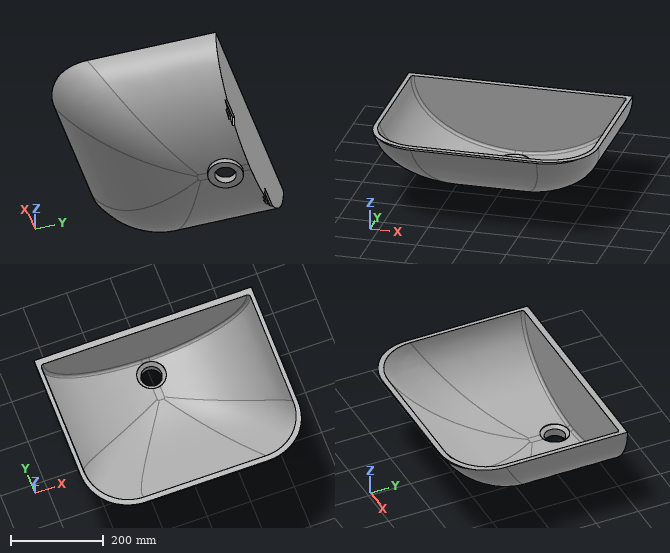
import cadquery as cq
import math

width = 499.5
length = 397.5
total_height = 180.0
bowl_depth = 170.5
deepest_y = -108.5
corner_radius = 110.0

side_wall = 10.0
front_wall = 12.5
back_wall = 15.0
floor_thickness = 14.5
cavity_edge_radius = 6.0
rim_overhang = 2.5
trim_margin = 5.0

drain_y = -54.5
drain_boss_diameter = 77.0
drain_hole_diameter = 46.0
countersink_diameter = 64.0
countersink_depth = 6.0

outer_notch = (112.0, -127.0, 26.0, 4.5)
inner_notch = (127.5, -137.0, 10.0, 8.0)

section_angles = (0, 8, 16, 25, 35, 45, 55, 65, 74, 82, 88)


def bowl(half_width, reach, depth, back_y, radius):
    """Loft horizontal outlines: elliptical across X, a circular arc along Y."""
    arc_radius = (reach**2 + depth**2) / (2 * depth)
    wires = []
    for angle in section_angles:
        shrink = math.cos(math.radians(angle))
        drop = depth * math.sin(math.radians(angle))
        x = half_width * shrink
        r = radius * shrink
        rise = arc_radius - depth + drop
        front_y = deepest_y - math.sqrt(arc_radius**2 - rise**2)
        diagonal = r * (1 - math.sqrt(0.5))
        outline = (
            cq.Workplane("XY", origin=(0, 0, -drop))
            .moveTo(-x, back_y)
            .lineTo(-x, front_y + r)
            .threePointArc((-x + diagonal, front_y + diagonal), (-x + r, front_y))
            .lineTo(x - r, front_y)
            .threePointArc((x - diagonal, front_y + diagonal), (x, front_y + r))
            .lineTo(x, back_y)
            .close()
        )
        wires.append(outline.val())
    return cq.Workplane(cq.Solid.makeLoft(wires))


def drain_cylinder(diameter, bottom, top):
    return (
        cq.Workplane("XY", origin=(0, drain_y, bottom))
        .circle(diameter / 2)
        .extrude(top - bottom)
    )


def notch(side, wall_x, top, height, depth):
    """Box that opens sideways through the curved underside."""
    box_length = width / 2 - wall_x
    return cq.Workplane("XY").box(box_length, 2 * depth, height).translate(
        (side * (wall_x + box_length / 2), 0, top - height / 2)
    )


outer_reach = length + deepest_y
cavity_depth = bowl_depth - floor_thickness
outer = bowl(width / 2, outer_reach + rim_overhang, bowl_depth, 0, corner_radius)

front_trim = (
    cq.Workplane("XY")
    .rect(width + 2 * trim_margin, 2 * length)
    .extrude(-total_height)
    .edges("|Z and <Y")
    .fillet(corner_radius + trim_margin)
)
outer = outer.intersect(front_trim)

cavity = bowl(
    width / 2 - side_wall,
    outer_reach - front_wall,
    cavity_depth,
    -back_wall,
    corner_radius - side_wall,
)
cavity = cavity.faces(">Y").edges("not(>Z)").fillet(cavity_edge_radius)

boss = drain_cylinder(drain_boss_diameter, -total_height, -bowl_depth + floor_thickness)
result = outer.union(boss).cut(cavity)

result = result.cut(drain_cylinder(drain_hole_diameter, -total_height, 0))
countersink = cq.Workplane(
    cq.Solid.makeCone(
        drain_hole_diameter / 2,
        countersink_diameter / 2,
        countersink_depth,
        pnt=cq.Vector(0, drain_y, -cavity_depth - countersink_depth),
        dir=cq.Vector(0, 0, 1),
    )
)
clearance = drain_cylinder(countersink_diameter, -cavity_depth, 0)
result = result.cut(countersink).cut(clearance)

for side in (-1, 1):
    for notch_size in (outer_notch, inner_notch):
        result = result.cut(notch(side, *notch_size))